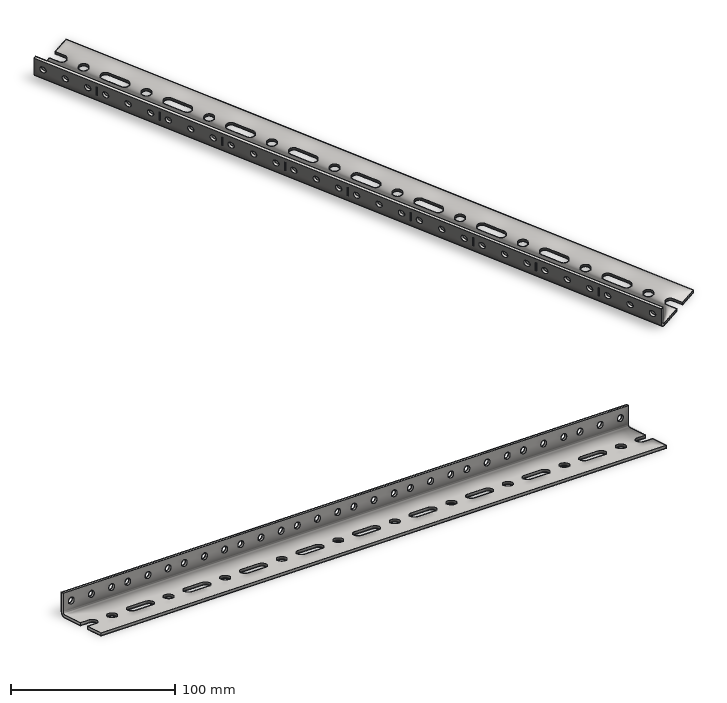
import cadquery as cq

length = 444.5
depth = 38.2
height = 16.0
thickness = 2.0
inner_bend_radius = 1.5
outer_bend_radius = inner_bend_radius + thickness

unit_count = 10
unit_pitch = length / unit_count

floor_row_y = 2.5
floor_hole_diameter = 6.5
slot_length = 20.0

wall_row_z = 9.5
wall_hole_diameter = 4.5
wall_hole_spacing = unit_pitch * 5 / (5 + 5 + 4)
groove_width = 1.0
groove_height = 6.2
groove_depth = 0.5

left_end = -length / 2
front_face = -depth / 2
unit_centers = [left_end + (unit + 0.5) * unit_pitch for unit in range(unit_count)]
unit_boundaries = [left_end + unit * unit_pitch for unit in range(unit_count + 1)]


def bent_strip():
    """Floor with an upright wall along its front edge, joined by a bend."""
    inner_face = front_face + thickness
    profile = (
        cq.Workplane("YZ")
        .moveTo(depth / 2, 0)
        .lineTo(front_face + outer_bend_radius, 0)
        .radiusArc((front_face, outer_bend_radius), outer_bend_radius)
        .lineTo(front_face, height)
        .lineTo(inner_face, height)
        .lineTo(inner_face, outer_bend_radius)
        .radiusArc((front_face + outer_bend_radius, thickness), -inner_bend_radius)
        .lineTo(depth / 2, thickness)
        .close()
    )
    return profile.extrude(length / 2, both=True)


def floor_cutters():
    """Alternating slots and round holes; the end slots open through the ends."""
    plane = cq.Workplane("XY")
    slots = (
        plane.pushPoints([(x, floor_row_y) for x in unit_boundaries])
        .slot2D(slot_length, floor_hole_diameter)
        .extrude(thickness)
    )
    holes = (
        plane.pushPoints([(x, floor_row_y) for x in unit_centers])
        .circle(floor_hole_diameter / 2)
        .extrude(thickness)
    )
    return slots.add(holes)


def wall_cutters():
    """Three round holes per unit and narrow blind grooves between the units."""
    plane = cq.Workplane("XZ", origin=(0, front_face, 0))
    hole_points = [
        (center + step * wall_hole_spacing, wall_row_z)
        for center in unit_centers
        for step in (-1, 0, 1)
    ]
    holes = plane.pushPoints(hole_points).circle(wall_hole_diameter / 2).extrude(-thickness)
    grooves = (
        plane.pushPoints([(x, wall_row_z) for x in unit_boundaries[1:-1]])
        .rect(groove_width, groove_height)
        .extrude(-groove_depth)
    )
    return holes.add(grooves)


result = bent_strip()
for cutter in floor_cutters().vals() + wall_cutters().vals():
    result = result.cut(cq.Workplane(cutter))